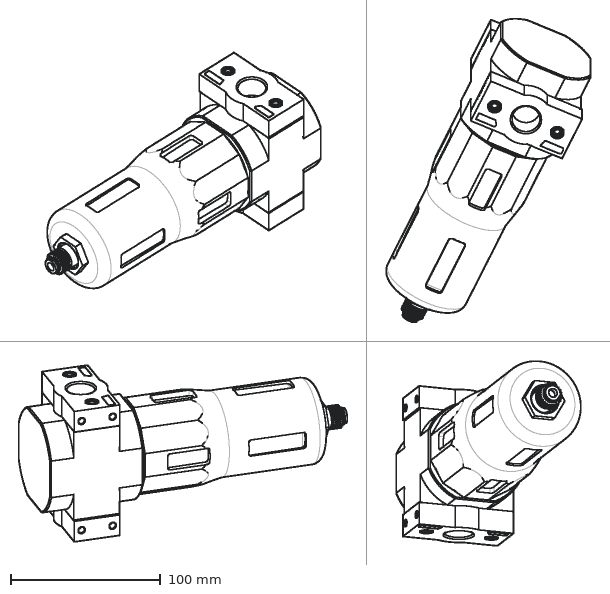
import cadquery as cq
import math


HOUSING_WIDTH = 66.2
HOUSING_HEIGHT = 65.8
HOUSING_LENGTH = 65.8
HOUSING_ROUND_DIAMETER = 71.5
HOUSING_CHAMFER = 0.9
BLOCK_LENGTH = 32.2
BLOCK_CHAMFER = 0.7
NECK_DIAMETER = 62.0
NECK_LENGTH = 1.5
PORT_DIAMETER = 18.6
PORT_RIM_DIAMETER = 20.8

PLATE_LEFT = -34.0
PLATE_RIGHT = HOUSING_WIDTH / 2
PLATE_THICKNESS = 15.1
PLATE_BOSS_DIAMETER = 36.5
SIDE_HOLE_DEPTH = 6.5
SIDE_HOLE_OFFSET = 11.0
SIDE_HOLE_INSET = 8.0
LABEL_DEPTH = 0.2
LABEL_NEAR = -8.8
LABEL_FAR = -13.5
LABEL_CORNER = 1.0

SCREW_OFFSET = 23.0
SCREW_HEAD_DIAMETER = 7.2
SCREW_HEAD_LENGTH = 5.0
SCREW_SEAT_DIAMETER = 9.0
SCREW_SHANK_DIAMETER = 5.0
SCREW_SHANK_END = 11.0
SCREW_SOCKET_DEPTH = 2.6

DRILL_DIAMETER = 4.2
DRILL_MOUTH_DIAMETER = 5.0
DRILL_TIP_ANGLE = 118.0

GUARD_TOP = -HOUSING_LENGTH / 2 - NECK_LENGTH
GUARD_SIDES = 12
GUARD_FLATS = 64.5
GUARD_CONE_START = -74.5
GUARD_CONE_END = -94.7
GUARD_DIAMETER = 58.8
GUARD_BOTTOM = -165.0
GUARD_FILLET = 6.4
SLOT_WIDTH = 11.8
SLOT_CORNER = 2.0
UPPER_SLOT = (-50.5, -80.2)
LOWER_SLOT = (-108.7, -149.0)

BOWL_TOP_DIAMETER = 58.8
BOWL_LOWER_DIAMETER = 54.8
BOWL_ROUND_START = -147.0
BOWL_ROUND = 4.4
OUTLET_DIAMETER = 22.0
OUTLET_BORE = 18.6
OUTLET_CHAMFER = 0.7
HEX_SIDES = 6
HEX_FLATS = 24.5
HEX_LENGTH = 5.3
HEX_END = GUARD_BOTTOM - HEX_LENGTH

DRAIN_COLLAR_DIAMETER = 15.8
DRAIN_COLLAR_END = -174.3
DRAIN_NECK_DIAMETER = 11.6
DRAIN_TIP_DIAMETER = 10.5
DRAIN_TIP_END = -186.3
DRAIN_BORE = 6.0
DRAIN_BORE_DEPTH = 4.4
FIN_STARTS = (-175.8, -178.5, -180.9)
FIN_THICKNESS = 1.5
FIN_TEETH = 24
FIN_TOOTH_DEPTH = 0.9
LIP_DIAMETER = 11.8
LIP_START = -183.5
LIP_THICKNESS = 1.0


def box_between(x_range, y_range, z_range):
    """Box spanning the given (low, high) ranges."""
    size = [high - low for low, high in (x_range, y_range, z_range)]
    corner = cq.Vector(x_range[0], y_range[0], z_range[0])
    return cq.Workplane(cq.Solid.makeBox(*size, pnt=corner))


def cylinder(diameter, length, start, direction):
    return cq.Workplane(cq.Solid.makeCylinder(diameter / 2, length, cq.Vector(start), cq.Vector(direction)))


def cylinder_y(diameter, y_start, y_end):
    """Cylinder on the main axis, running in -Y from y_start to y_end."""
    return cylinder(diameter, y_start - y_end, (0, y_start, 0), (0, -1, 0))


def drilled_hole(depth, start, direction):
    """Small hole with a chamfered mouth and a conical drill tip."""
    axis = cq.Vector(direction)
    radius = DRILL_DIAMETER / 2
    mouth_radius = DRILL_MOUTH_DIAMETER / 2
    mouth = cq.Solid.makeCone(mouth_radius, radius, mouth_radius - radius, cq.Vector(start), axis)
    tip_length = radius / math.tan(math.radians(DRILL_TIP_ANGLE / 2))
    tip = cq.Solid.makeCone(radius, 0, tip_length, cq.Vector(start) + axis * depth, axis)
    hole = cylinder(DRILL_DIAMETER, depth, start, direction)
    return hole.union(cq.Workplane(mouth)).union(cq.Workplane(tip))


def prism_y(sides, flats, y_start, y_end):
    """Regular prism on the main axis, from y_start down to y_end."""
    corner_diameter = flats / math.cos(math.pi / sides)
    return cq.Workplane("XZ", origin=(0, y_start, 0)).polygon(sides, corner_diameter).extrude(y_start - y_end)



PLATE_OUTER = HOUSING_HEIGHT / 2 + PLATE_THICKNESS
INTO_PLATE = (0, 0, -1)


def screw_blank(x, head_diameter):
    """Head and shank of an upper screw; also the shape of its seat when the head is wider."""
    shank_length = PLATE_THICKNESS + SCREW_SHANK_END
    head = cylinder(head_diameter, SCREW_HEAD_LENGTH, (x, 0, PLATE_OUTER), INTO_PLATE)
    return head.union(cylinder(SCREW_SHANK_DIAMETER, shank_length, (x, 0, PLATE_OUTER), INTO_PLATE))


def make_screw(x):
    socket = drilled_hole(SCREW_SOCKET_DEPTH, (x, 0, PLATE_OUTER), INTO_PLATE)
    return screw_blank(x, SCREW_HEAD_DIAMETER).cut(socket)


upper_screws = [make_screw(x) for x in (-SCREW_OFFSET, SCREW_OFFSET)]
screws = upper_screws + [screw.mirror("XY") for screw in upper_screws]



def label_recesses():
    """Two shallow slant-ended recesses beside the screws."""
    floor = cq.Workplane("XY", origin=(0, 0, PLATE_OUTER - LABEL_DEPTH))
    left = floor.polyline(
        [(-32.0, LABEL_NEAR), (-18.2, LABEL_NEAR), (-16.7, LABEL_FAR), (-32.0, LABEL_FAR)]
    ).close().extrude(LABEL_DEPTH).edges("|Z and <X").fillet(LABEL_CORNER)
    right = floor.polyline(
        [(30.5, LABEL_NEAR), (18.2, LABEL_NEAR), (16.2, -12.0), (16.9, LABEL_FAR), (30.5, LABEL_FAR)]
    ).close().extrude(LABEL_DEPTH)
    return left.union(right)


def make_plate():
    """Upper plate: slab with a round boss at the port, screw seats and side holes."""
    bottom = HOUSING_HEIGHT / 2
    half_length = BLOCK_LENGTH / 2
    plate = box_between((PLATE_LEFT, PLATE_RIGHT), (-half_length, half_length), (bottom, PLATE_OUTER))
    plate = plate.union(cylinder(PLATE_BOSS_DIAMETER, PLATE_THICKNESS, (0, 0, bottom), (0, 0, 1)))
    plate = plate.cut(cylinder(PORT_DIAMETER, PLATE_THICKNESS, (0, 0, bottom), (0, 0, 1)))
    rim = (PORT_RIM_DIAMETER - PORT_DIAMETER) / 2
    plate = plate.faces(">Z").edges("%CIRCLE").edges(cq.selectors.RadiusNthSelector(0)).chamfer(rim)
    for x in (-SCREW_OFFSET, SCREW_OFFSET):
        plate = plate.cut(screw_blank(x, SCREW_SEAT_DIAMETER))
    for y in (-SIDE_HOLE_OFFSET, SIDE_HOLE_OFFSET):
        start = (PLATE_LEFT, y, PLATE_OUTER - SIDE_HOLE_INSET)
        plate = plate.cut(drilled_hole(SIDE_HOLE_DEPTH, start, (1, 0, 0)))
    return plate.cut(label_recesses())


upper_plate = make_plate()
plates = [upper_plate, upper_plate.mirror("XY")]



def make_housing():
    """Round body with four flats, a square middle block, a neck and the through port."""
    half_length = HOUSING_LENGTH / 2
    half_block = BLOCK_LENGTH / 2
    x_range = (-HOUSING_WIDTH / 2, HOUSING_WIDTH / 2)
    z_range = (-HOUSING_HEIGHT / 2, HOUSING_HEIGHT / 2)
    body = cylinder_y(HOUSING_ROUND_DIAMETER, half_length, -half_length)
    body = body.intersect(box_between(x_range, (-half_length, half_length), z_range))
    body = body.faces("<Y or >Y").chamfer(HOUSING_CHAMFER)
    block = box_between(x_range, (-half_block, half_block), z_range)
    body = body.union(block.edges("|Y").chamfer(BLOCK_CHAMFER))
    body = body.union(cylinder_y(NECK_DIAMETER, -half_length, GUARD_TOP))
    body = body.cut(cylinder(PORT_DIAMETER, HOUSING_HEIGHT, (0, 0, z_range[0]), (0, 0, 1)))
    for screw in screws:
        body = body.cut(screw)
    return body


housing = make_housing()



def make_bowl():
    """Round-bottomed bowl whose outlet ends in a bored hexagon below the guard."""
    bowl_end = BOWL_ROUND_START - BOWL_ROUND
    lower_radius = BOWL_LOWER_DIAMETER / 2
    bowl = (
        cq.Workplane("XY")
        .moveTo(0, GUARD_TOP)
        .lineTo(BOWL_TOP_DIAMETER / 2, GUARD_TOP)
        .lineTo(lower_radius, BOWL_ROUND_START)
        .radiusArc((lower_radius - BOWL_ROUND, bowl_end), BOWL_ROUND)
        .lineTo(0, bowl_end)
        .close()
        .revolve(360, (0, 0, 0), (0, 1, 0))
    )
    bowl = bowl.union(cylinder_y(OUTLET_DIAMETER, bowl_end, GUARD_BOTTOM))
    bowl = bowl.union(prism_y(HEX_SIDES, HEX_FLATS, GUARD_BOTTOM, HEX_END))
    bowl = bowl.cut(cylinder_y(OUTLET_BORE, GUARD_BOTTOM, HEX_END))
    return bowl.faces("<Y").edges("%CIRCLE").chamfer(OUTLET_CHAMFER)


bowl = make_bowl()



def slot_pair(ends):
    """Two crossing bars that cut one rounded slot through each of the four sides."""
    top, bottom = ends
    bar = cq.Workplane("XY").box(SLOT_WIDTH, top - bottom, GUARD_FLATS * 2)
    bar = bar.edges("|Z").fillet(SLOT_CORNER).translate((0, (top + bottom) / 2, 0))
    return bar.union(bar.rotate((0, 0, 0), (0, 1, 0), 90))


def make_guard():
    """Twelve-sided grip that tapers into a round sleeve, bored to hold the bowl."""
    corner_radius = GUARD_FLATS / 2 / math.cos(math.pi / GUARD_SIDES)
    guard = (
        cq.Workplane("XY")
        .moveTo(0, GUARD_TOP)
        .lineTo(corner_radius, GUARD_TOP)
        .lineTo(corner_radius, GUARD_CONE_START)
        .lineTo(GUARD_DIAMETER / 2, GUARD_CONE_END)
        .lineTo(GUARD_DIAMETER / 2, GUARD_BOTTOM)
        .lineTo(0, GUARD_BOTTOM)
        .close()
        .revolve(360, (0, 0, 0), (0, 1, 0))
    )
    guard = guard.faces("<Y").edges().fillet(GUARD_FILLET)
    grip = prism_y(GUARD_SIDES, GUARD_FLATS, GUARD_TOP, GUARD_BOTTOM)
    guard = guard.intersect(grip.rotate((0, 0, 0), (0, 1, 0), 180 / GUARD_SIDES))
    return guard.cut(slot_pair(UPPER_SLOT)).cut(slot_pair(LOWER_SLOT)).cut(bowl)


guard = make_guard()



def toothed_fin(y_start):
    """Thin disc with pointed teeth around its rim."""
    points = []
    for index in range(2 * FIN_TEETH):
        radius = DRAIN_COLLAR_DIAMETER / 2 - FIN_TOOTH_DEPTH * (index % 2)
        angle = math.pi * index / FIN_TEETH
        points.append((radius * math.cos(angle), radius * math.sin(angle)))
    return cq.Workplane("XZ", origin=(0, y_start, 0)).polyline(points).close().extrude(FIN_THICKNESS)


def make_drain():
    """Stepped stem standing in the outlet bore, with toothed fins, a lip and a bored tip."""
    drain = cylinder_y(DRAIN_COLLAR_DIAMETER, GUARD_BOTTOM, DRAIN_COLLAR_END)
    drain = drain.union(cylinder_y(DRAIN_NECK_DIAMETER, DRAIN_COLLAR_END, FIN_STARTS[-1]))
    for y_start in FIN_STARTS:
        drain = drain.union(toothed_fin(y_start))
    drain = drain.union(cylinder_y(DRAIN_TIP_DIAMETER, FIN_STARTS[-1], DRAIN_TIP_END))
    drain = drain.union(cylinder_y(LIP_DIAMETER, LIP_START, LIP_START - LIP_THICKNESS))
    return drain.cut(cylinder_y(DRAIN_BORE, DRAIN_TIP_END + DRAIN_BORE_DEPTH, DRAIN_TIP_END))


drain = make_drain()

bodies = [housing, *plates, *screws, bowl, guard, drain]
result = cq.Compound.makeCompound([body.val() for body in bodies])